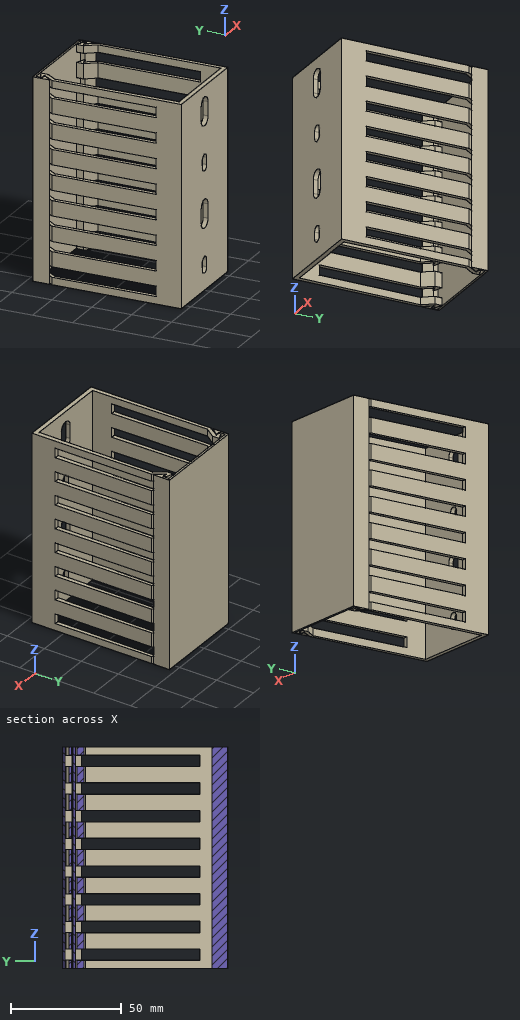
import cadquery as cq

width = 48.5
depth = 74.5
length = 100.0
half_width = width / 2

base_thickness = 2.4
wall_base_thickness = 2.4
wall_bend_thickness = 1.9

hook_outer_bend_drop = 9.7
hook_inner_bend_drop = 10.3
hook_inset = 5.7
hook_shoulder_drop = 5.0
hook_crest_drop = 1.5
hook_nose_inset = 1.5
hook_nose_top_drop = 3.1
hook_nose_bottom_drop = 4.1
hook_notch_inset = 3.9

cover_thickness = 1.1
cover_leg_thickness = 1.2
cover_leg_drop = 8.5
barb_inset = 3.5
barb_root_drop = 4.3
barb_tip_drop = 4.6

slot_count = 8
slot_pitch = length / slot_count
slot_height = 5.0
slot_start = 12.7

hole_pitch = length / 2
large_hole_length = 14.0
large_hole_width = 7.0
large_hole_first_z = 37.5
small_hole_length = 8.0
small_hole_width = 4.4
small_hole_first_z = 12.5


def extrude_symmetric(right_half):
    """Extrude a profile along Z, given its right half as (inset, y) points."""
    right = [(half_width - inset, y) for inset, y in right_half]
    left = [(-x, y) for x, y in reversed(right)]
    return cq.Workplane("XY").polyline(right + left).close().extrude(length)


def wiring_slots():
    """Slots through both side walls, open at the hook edge."""
    slot_depth = depth - slot_start
    centers = [(0, (i + 0.5) * slot_pitch) for i in range(slot_count)]
    return (
        cq.Workplane("XZ", origin=(0, slot_start, 0))
        .pushPoints(centers)
        .rect(width, slot_height)
        .extrude(-slot_depth)
    )


def mounting_holes(hole_length, hole_width, first_z):
    """Pair of round-ended holes through the base, long along Z."""
    centers = [(0, first_z + i * hole_pitch) for i in range(2)]
    return (
        cq.Workplane("XZ")
        .pushPoints(centers)
        .slot2D(hole_length, hole_width, 90)
        .extrude(-base_thickness)
    )


def make_trough():
    """U-shaped trough with slotted walls that end in inward snap hooks."""
    right_half = [
        (0, 0),
        (0, depth - hook_outer_bend_drop),
        (hook_notch_inset, depth - hook_nose_bottom_drop),
        (hook_nose_inset, depth - hook_nose_bottom_drop),
        (hook_nose_inset, depth - hook_nose_top_drop),
        (hook_inset, depth - hook_crest_drop),
        (hook_inset, depth - hook_shoulder_drop),
        (wall_bend_thickness, depth - hook_inner_bend_drop),
        (wall_base_thickness, base_thickness),
    ]
    large_holes = mounting_holes(large_hole_length, large_hole_width, large_hole_first_z)
    small_holes = mounting_holes(small_hole_length, small_hole_width, small_hole_first_z)
    return extrude_symmetric(right_half).cut(wiring_slots()).cut(large_holes).cut(small_holes)


def make_cover():
    """Snap-on cover whose legs end in barbs that catch under the hooks."""
    right_half = [
        (0, depth),
        (0, depth - cover_leg_drop),
        (barb_inset, depth - barb_tip_drop),
        (cover_leg_thickness, depth - barb_root_drop),
        (cover_leg_thickness, depth - cover_thickness),
    ]
    return extrude_symmetric(right_half)


trough = make_trough()
cover = make_cover()

result = cq.Compound.makeCompound([trough.val(), cover.val()])